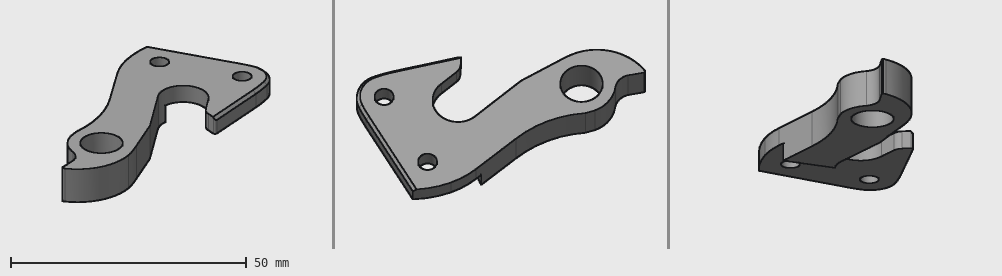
import cadquery as cq
import math

PLATE_THICKNESS = 4.0
TOTAL_THICKNESS = 2 * PLATE_THICKNESS
STEP_Y = 41.2
CHAMFER = 0.7

WIDTH = 31.05
LENGTH = 59.25

SCREW_HOLE_DIAMETER = 4.0
SCREW_HOLES = [(6.7, 51.3), (25.2, 53.5)]
PIVOT = (11.9, 13.7)
PIVOT_HOLE_DIAMETER = 9.0
PIVOT_BOSS_RADIUS = 7.2

CORNER_RADIUS = 5.7
BLEND_RADIUS = 29.6
TOP_EDGE_ANGLE = 6.6
SIDE_EDGE_ANGLE = 8.8
CORNER_CENTER = (WIDTH - CORNER_RADIUS, LENGTH - CORNER_RADIUS)
TOP_BLEND_CENTER = (CORNER_CENTER[0], LENGTH - BLEND_RADIUS)
SIDE_BLEND_CENTER = (WIDTH - BLEND_RADIUS, CORNER_CENTER[1])

SLOT_CENTER = (18.3, 39.4)
SLOT_RADIUS = 5.4
SLOT_ANGLE = 18.0
HOOK_TIP_RADIUS = 0.5

PLATE_LEFT_CORNER = (1.55, 56.9)
HOOK_TIP = (28.45, 34.35)
ARM_BEND = (17.6, 25.2)
TAIL_TIP = (9.55, 0.0)

CUT_MARGIN = 0.6


def polar(center, radius, degrees):
    """Point on a circle at the given angle from +X."""
    angle = math.radians(degrees)
    return (center[0] + radius * math.cos(angle), center[1] + radius * math.sin(angle))


def make_outline():
    """Closed outline, followed clockwise from the plate's left corner."""
    outline = cq.Workplane("XY").moveTo(*PLATE_LEFT_CORNER)

    outline = (
        outline.lineTo(*polar(TOP_BLEND_CENTER, BLEND_RADIUS, 90 + TOP_EDGE_ANGLE))
        .threePointArc(
            polar(TOP_BLEND_CENTER, BLEND_RADIUS, 90 + TOP_EDGE_ANGLE / 2),
            (CORNER_CENTER[0], LENGTH),
        )
        .threePointArc(polar(CORNER_CENTER, CORNER_RADIUS, 45), (WIDTH, CORNER_CENTER[1]))
        .threePointArc(
            polar(SIDE_BLEND_CENTER, BLEND_RADIUS, -SIDE_EDGE_ANGLE / 2),
            polar(SIDE_BLEND_CENTER, BLEND_RADIUS, -SIDE_EDGE_ANGLE),
        )
        .lineTo(*HOOK_TIP)
    )

    outline = (
        outline.lineTo(26.2, 35.5)
        .threePointArc((25.4, 36.1), (24.9, 37.0))
        .lineTo(*polar(SLOT_CENTER, SLOT_RADIUS, SLOT_ANGLE))
        .threePointArc(
            polar(SLOT_CENTER, SLOT_RADIUS, 90 + SLOT_ANGLE),
            polar(SLOT_CENTER, SLOT_RADIUS, 180 + SLOT_ANGLE),
        )
        .lineTo(*ARM_BEND)
        .lineTo(19.1, 15.7)
    )

    outline = (
        outline.threePointArc((19.4, 13.55), (19.45, 11.45))
        .threePointArc((16.25, 3.85), (10.1, 0.1))
        .lineTo(*TAIL_TIP)
        .lineTo(9.3, 0.35)
        .lineTo(10.0, 3.85)
        .threePointArc((9.6, 6.05), polar(PIVOT, PIVOT_BOSS_RADIUS, 240))
    )

    return (
        outline.threePointArc(
            polar(PIVOT, PIVOT_BOSS_RADIUS, 210),
            polar(PIVOT, PIVOT_BOSS_RADIUS, 180),
        )
        .lineTo(4.85, 15.8)
        .threePointArc((6.1, 23.5), (4.7, 31.9))
        .lineTo(1.0, 42.6)
        .threePointArc((0.25, 45.7), (0.0, 48.8))
        .threePointArc((0.4, 52.9), PLATE_LEFT_CORNER)
        .close()
    )


def chamfer_outer_edges(body):
    """Chamfer the upper rim along the top edge, the rounded corner and the hook side."""
    rim_points = [
        (13.05, 58.2),
        polar(TOP_BLEND_CENTER, BLEND_RADIUS, 90 + TOP_EDGE_ANGLE / 2),
        polar(CORNER_CENTER, CORNER_RADIUS, 45),
        polar(SIDE_BLEND_CENTER, BLEND_RADIUS, -SIDE_EDGE_ANGLE / 2),
        (29.6, 41.8),
    ]
    top_edges = body.faces(">Z").edges()
    rim = []
    for x, y in rim_points:
        nearest = cq.NearestToPointSelector((x, y, TOTAL_THICKNESS))
        rim.append(top_edges.edges(nearest).val())
    return body.newObject(rim).chamfer(CHAMFER)


def round_hook_tip(body):
    """Round the vertical edge at the tip of the hook."""
    tip_edge = cq.NearestToPointSelector((*HOOK_TIP, TOTAL_THICKNESS / 2))
    return body.edges("|Z").edges(tip_edge).fillet(HOOK_TIP_RADIUS)


def cut_plate_relief(body):
    """Thin the mounting plate and the hook, leaving the arm at full thickness."""
    relief_depth = TOTAL_THICKNESS - PLATE_THICKNESS
    plate_relief = (
        cq.Workplane("XY")
        .moveTo(-CUT_MARGIN, STEP_Y)
        .lineTo(SLOT_CENTER[0], STEP_Y)
        .lineTo(SLOT_CENTER[0], HOOK_TIP[1] - CUT_MARGIN)
        .lineTo(WIDTH + CUT_MARGIN, HOOK_TIP[1] - CUT_MARGIN)
        .lineTo(WIDTH + CUT_MARGIN, LENGTH + CUT_MARGIN)
        .lineTo(-CUT_MARGIN, LENGTH + CUT_MARGIN)
        .close()
        .extrude(relief_depth)
    )
    return body.cut(plate_relief)


def drill_holes(body):
    """Two screw holes through the plate and the pivot hole through the arm."""
    screw_holes = cq.Workplane("XY").pushPoints(SCREW_HOLES).circle(SCREW_HOLE_DIAMETER / 2)
    pivot_hole = cq.Workplane("XY").center(*PIVOT).circle(PIVOT_HOLE_DIAMETER / 2)
    for holes in (screw_holes, pivot_hole):
        body = body.cut(holes.extrude(TOTAL_THICKNESS))
    return body


blank = make_outline().extrude(TOTAL_THICKNESS)
result = chamfer_outer_edges(blank).intersect(round_hook_tip(blank))
result = cut_plate_relief(result)
result = drill_holes(result)